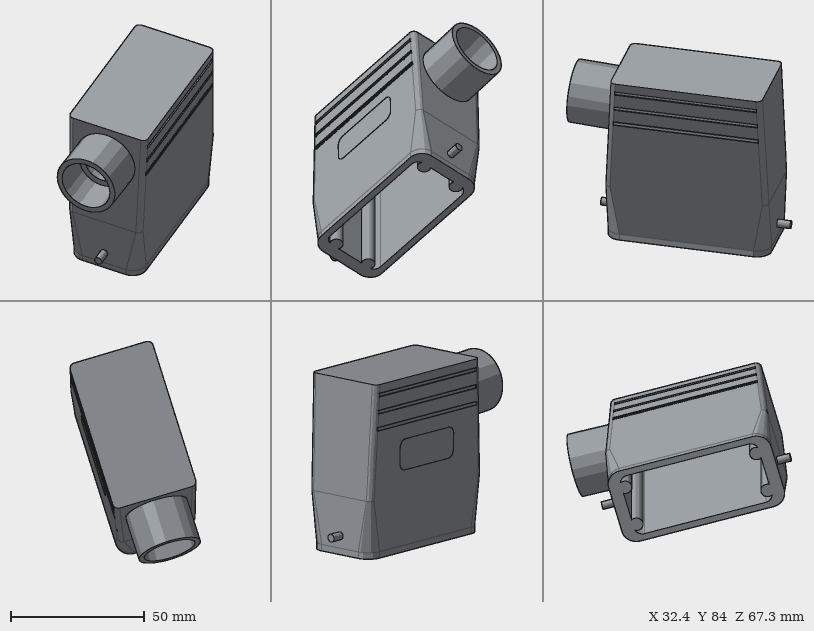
import cadquery as cq
import math

HEIGHT = 67.3
BAND_HEIGHT = 2.5
SHOULDER_HEIGHT = 22.6
BASE_WIDTH, BASE_LENGTH, BASE_CORNER_RADIUS = 29.5, 63.0, 5.6
SHOULDER_LENGTH, SHOULDER_CORNER_RADIUS = 62.95, 2.0
TOP_WIDTH, TOP_LENGTH, TOP_CORNER_RADIUS = 32.4, 58.5, 2.1
SIDE_SLOPE = (TOP_WIDTH - BASE_WIDTH) / 2 / (HEIGHT - BAND_HEIGHT)
SHOULDER_WIDTH = BASE_WIDTH + 2 * SIDE_SLOPE * (SHOULDER_HEIGHT - BAND_HEIGHT)

WALL = 2.5
CAVITY_WIDTH = BASE_WIDTH - 2 * WALL
CAVITY_LENGTH = TOP_LENGTH - 2 * WALL
CAVITY_CORNER_RADIUS = BASE_CORNER_RADIUS - WALL
CAVITY_HEIGHT = HEIGHT - WALL
COLUMN_RADIUS = 2.5
COLUMN_GAP = 10.5

END_WALL_LEAN = math.degrees(
    math.atan2((SHOULDER_LENGTH - TOP_LENGTH) / 2, HEIGHT - SHOULDER_HEIGHT)
)
TUBE_DIAMETER = 24.0
TUBE_RIM_Y, TUBE_RIM_Z = -46.9, 53.2
BORE_RIM_DIAMETER = 19.8
BORE_FLOOR_DIAMETER = 18.9
BORE_DEPTH = 13.5
ENTRY_HOLE_DIAMETER = 14.0

PIN_DIAMETER = 3.0
PIN_HEIGHT = 7.3
PIN_TIP_Y = 36.55

GROOVE_COUNT = 3
GROOVE_WIDTH = 1.35
GROOVE_PITCH = 6.55
FIRST_GROOVE_TOP = 63.9
GROOVE_FLOOR_X = 15.5

LABEL_LENGTH, LABEL_HEIGHT, LABEL_CORNER_RADIUS = 30.25, 12.0, 2.9
LABEL_CENTER_Z = 37.65
LABEL_DEPTH = 0.1


def half_width_at(z):
    return BASE_WIDTH / 2 + SIDE_SLOPE * (z - BAND_HEIGHT)


def flat_half_length_at(z):
    """Half length of the flat upper side wall between its rounded corners."""
    shoulder_flat = SHOULDER_LENGTH / 2 - SHOULDER_CORNER_RADIUS
    top_flat = TOP_LENGTH / 2 - TOP_CORNER_RADIUS
    fraction = (z - SHOULDER_HEIGHT) / (HEIGHT - SHOULDER_HEIGHT)
    return shoulder_flat + (top_flat - shoulder_flat) * fraction


def section(width, length, radius):
    return cq.Sketch().rect(width, length).vertices().fillet(radius)


def at_height(sketch, z):
    return sketch.moved(cq.Location(cq.Vector(0, 0, z)))


def loft_between(lower_sketch, lower_z, upper_sketch, upper_z):
    sections = at_height(lower_sketch, lower_z), at_height(upper_sketch, upper_z)
    return cq.Workplane("XY").placeSketch(*sections).loft(ruled=True)


def make_shell():
    base = section(BASE_WIDTH, BASE_LENGTH, BASE_CORNER_RADIUS)
    shoulder = section(SHOULDER_WIDTH, SHOULDER_LENGTH, SHOULDER_CORNER_RADIUS)
    top = section(TOP_WIDTH, TOP_LENGTH, TOP_CORNER_RADIUS)
    band = cq.Workplane("XY").placeSketch(base).extrude(BAND_HEIGHT)
    lower = loft_between(base, BAND_HEIGHT, shoulder, SHOULDER_HEIGHT)
    upper = loft_between(shoulder, SHOULDER_HEIGHT, top, HEIGHT)
    return band.union(lower).union(upper)


def make_cavity():
    cavity_section = section(CAVITY_WIDTH, CAVITY_LENGTH, CAVITY_CORNER_RADIUS)
    cavity = cq.Workplane("XY").placeSketch(cavity_section).extrude(CAVITY_HEIGHT)
    column_spacing_x = COLUMN_GAP + 2 * COLUMN_RADIUS
    column_spacing_y = CAVITY_LENGTH - COLUMN_RADIUS
    columns = (
        cq.Workplane("XY")
        .rect(column_spacing_x, column_spacing_y, forConstruction=True)
        .vertices()
        .circle(COLUMN_RADIUS)
        .extrude(CAVITY_HEIGHT)
    )
    return cavity.cut(columns)


def rim_plane():
    """Plane at the tube rim whose normal points along the tube into the shell."""
    lean = math.radians(END_WALL_LEAN)
    return cq.Plane(
        origin=(0, TUBE_RIM_Y, TUBE_RIM_Z),
        xDir=(1, 0, 0),
        normal=(0, math.cos(lean), -math.sin(lean)),
    )


def make_tube():
    inner_end_y = -(CAVITY_LENGTH + WALL) / 2
    length = inner_end_y - TUBE_RIM_Y
    return cq.Workplane(rim_plane()).circle(TUBE_DIAMETER / 2).extrude(length)


def make_bore():
    taper = math.degrees(math.atan2((BORE_RIM_DIAMETER - BORE_FLOOR_DIAMETER) / 2, BORE_DEPTH))
    bore = cq.Workplane(rim_plane()).circle(BORE_RIM_DIAMETER / 2).extrude(BORE_DEPTH, taper=taper)
    hole_length = -TUBE_RIM_Y - CAVITY_LENGTH / 2 + 2 * COLUMN_RADIUS
    hole = cq.Workplane(rim_plane()).circle(ENTRY_HOLE_DIAMETER / 2).extrude(hole_length)
    return bore.union(hole)


def make_pin(side):
    length = PIN_TIP_Y - CAVITY_LENGTH / 2 - WALL
    return (
        cq.Workplane("XZ", origin=(0, -side * PIN_TIP_Y, PIN_HEIGHT))
        .circle(PIN_DIAMETER / 2)
        .extrude(-side * length)
    )


def make_groove(side, index):
    top = FIRST_GROOVE_TOP - index * GROOVE_PITCH
    bottom = top - GROOVE_WIDTH
    top_flat = flat_half_length_at(top)
    bottom_flat = flat_half_length_at(bottom)
    depth = TOP_WIDTH / 2 - GROOVE_FLOOR_X
    return (
        cq.Workplane("YZ", origin=(side * GROOVE_FLOOR_X, 0, 0))
        .polyline([(-bottom_flat, bottom), (bottom_flat, bottom), (top_flat, top), (-top_flat, top)])
        .close()
        .extrude(side * depth)
    )


def make_label_recess():
    side_lean = math.atan(SIDE_SLOPE)
    side_plane = cq.Plane(
        origin=(-half_width_at(LABEL_CENTER_Z), 0, LABEL_CENTER_Z),
        xDir=(0, 1, 0),
        normal=(math.cos(side_lean), 0, math.sin(side_lean)),
    )
    label = section(LABEL_LENGTH, LABEL_HEIGHT, LABEL_CORNER_RADIUS)
    return cq.Workplane(side_plane).placeSketch(label).extrude(LABEL_DEPTH)


SIDES = (-1, 1)

result = make_shell().union(make_tube()).cut(make_cavity()).cut(make_bore())
for side in SIDES:
    result = result.union(make_pin(side))
    for index in range(GROOVE_COUNT):
        result = result.cut(make_groove(side, index))
result = result.cut(make_label_recess())